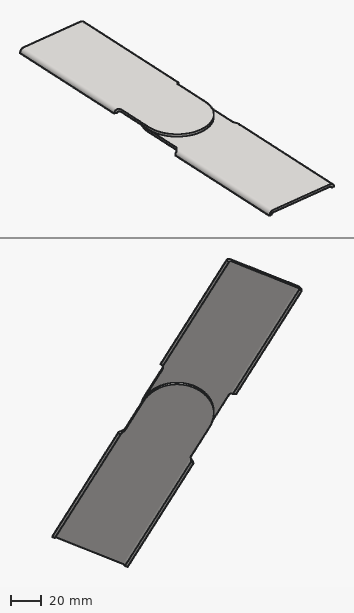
import cadquery as cq
import math

total_length = 254.0
total_width = 55.4
thickness = 2.0
plate_height = 3.3
bend_radius = 3.5
flange_length = 96.0
relief_radius = bend_radius

half_length = total_length / 2
half_width = total_width / 2
flat_half_width = half_width - bend_radius
inner_radius = bend_radius - thickness
flange_end_x = flange_length - half_length
neck_start_x = flange_end_x + relief_radius


def arc_point(radius, angle):
    """Point on the bend at the +Y side, with the angle measured up from horizontal."""
    return (
        flat_half_width + radius * math.cos(angle),
        radius * math.sin(angle) - bend_radius,
    )


def flanged_profile():
    """Half section in Y and Z, with its top at Z = 0 and its flange curved downward."""
    rim_lift = bend_radius - plate_height
    outer_rim_angle = math.asin(rim_lift / bend_radius)
    inner_rim_angle = math.asin(rim_lift / inner_radius)
    outer_middle = (outer_rim_angle + math.pi / 2) / 2
    inner_middle = (inner_rim_angle + math.pi / 2) / 2
    return (
        cq.Workplane("YZ", origin=(-half_length, 0, 0))
        .moveTo(0, 0)
        .lineTo(flat_half_width, 0)
        .threePointArc(arc_point(bend_radius, outer_middle), arc_point(bend_radius, outer_rim_angle))
        .lineTo(*arc_point(inner_radius, inner_rim_angle))
        .threePointArc(arc_point(inner_radius, inner_middle), (flat_half_width, -thickness))
        .lineTo(0, -thickness)
        .close()
    )


def plan_outline():
    """Outline with a wide flanged part, rounded reliefs, a narrow neck and a round end."""
    relief_offset = relief_radius * (1 - math.sqrt(0.5))
    relief_middle = (flange_end_x + relief_offset, flat_half_width + relief_offset)
    return (
        cq.Workplane("XY", origin=(0, 0, -plate_height))
        .moveTo(-half_length, -half_width)
        .lineTo(flange_end_x, -half_width)
        .threePointArc((relief_middle[0], -relief_middle[1]), (neck_start_x, -flat_half_width))
        .lineTo(0, -flat_half_width)
        .threePointArc((flat_half_width, 0), (0, flat_half_width))
        .lineTo(neck_start_x, flat_half_width)
        .threePointArc(relief_middle, (flange_end_x, half_width))
        .lineTo(-half_length, half_width)
        .close()
    )


def make_plate():
    """Curved-edge sheet trimmed to the plan outline."""
    half_sheet = flanged_profile().extrude(half_length + flat_half_width)
    sheet = half_sheet.union(half_sheet.mirror("XZ"))
    return sheet.intersect(plan_outline().extrude(plate_height))


plates = []
for level in range(2):
    turned = make_plate().rotate((0, 0, 0), (0, 0, 1), level * 180)
    plates.append(turned.translate((0, 0, -level * thickness)))

result = cq.Compound.makeCompound([plate.val() for plate in plates])